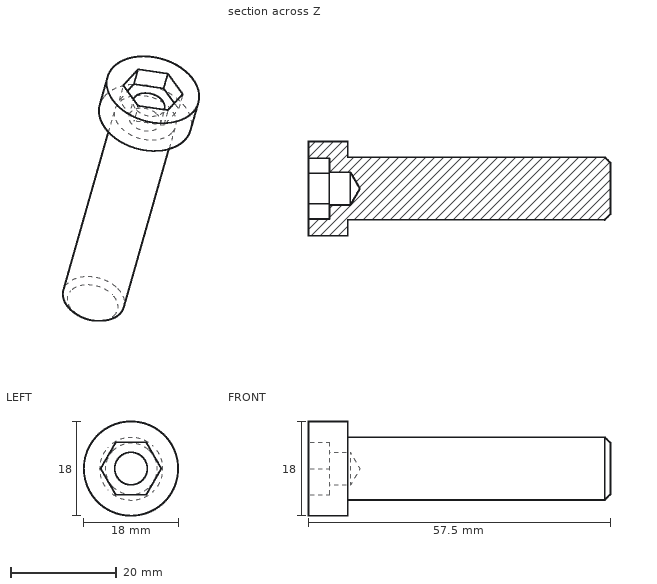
import cadquery as cq
import math

HEAD_DIAMETER = 18.0
HEAD_HEIGHT = 7.5
SHANK_DIAMETER = 12.0
SHANK_LENGTH = 50.0
TIP_CHAMFER = 1.1

SOCKET_ACROSS_FLATS = 10.0
SOCKET_DEPTH = 4.0

PILOT_DIAMETER = 6.2
PILOT_DEPTH = 4.0
PILOT_POINT_ANGLE = 120.0

HEAD_FACE_X = -HEAD_HEIGHT
SOCKET_FLOOR_X = HEAD_FACE_X + SOCKET_DEPTH


def make_head():
    return cq.Workplane("YZ", origin=(HEAD_FACE_X, 0, 0)).circle(HEAD_DIAMETER / 2).extrude(HEAD_HEIGHT)


def make_shank():
    shank = cq.Workplane("YZ").circle(SHANK_DIAMETER / 2).extrude(SHANK_LENGTH)
    return shank.faces(">X").chamfer(TIP_CHAMFER)


def make_socket():
    """Hexagonal prism with two corners on the Y axis and flats facing +Z and -Z."""
    across_corners = SOCKET_ACROSS_FLATS / math.cos(math.radians(30))
    return cq.Workplane("YZ", origin=(HEAD_FACE_X, 0, 0)).polygon(6, across_corners).extrude(SOCKET_DEPTH)


def make_pilot_hole():
    """Blind drilled hole with a conical bottom, starting at the socket floor."""
    radius = PILOT_DIAMETER / 2
    cone_height = radius / math.tan(math.radians(PILOT_POINT_ANGLE / 2))
    wall_end_x = SOCKET_FLOOR_X + PILOT_DEPTH
    half_profile = (
        cq.Workplane("XY")
        .moveTo(SOCKET_FLOOR_X, 0)
        .lineTo(SOCKET_FLOOR_X, radius)
        .lineTo(wall_end_x, radius)
        .lineTo(wall_end_x + cone_height, 0)
        .close()
    )
    return half_profile.revolve(360, (0, 0, 0), (1, 0, 0))


screw = make_head().union(make_shank())
result = screw.cut(make_socket()).cut(make_pilot_hole())